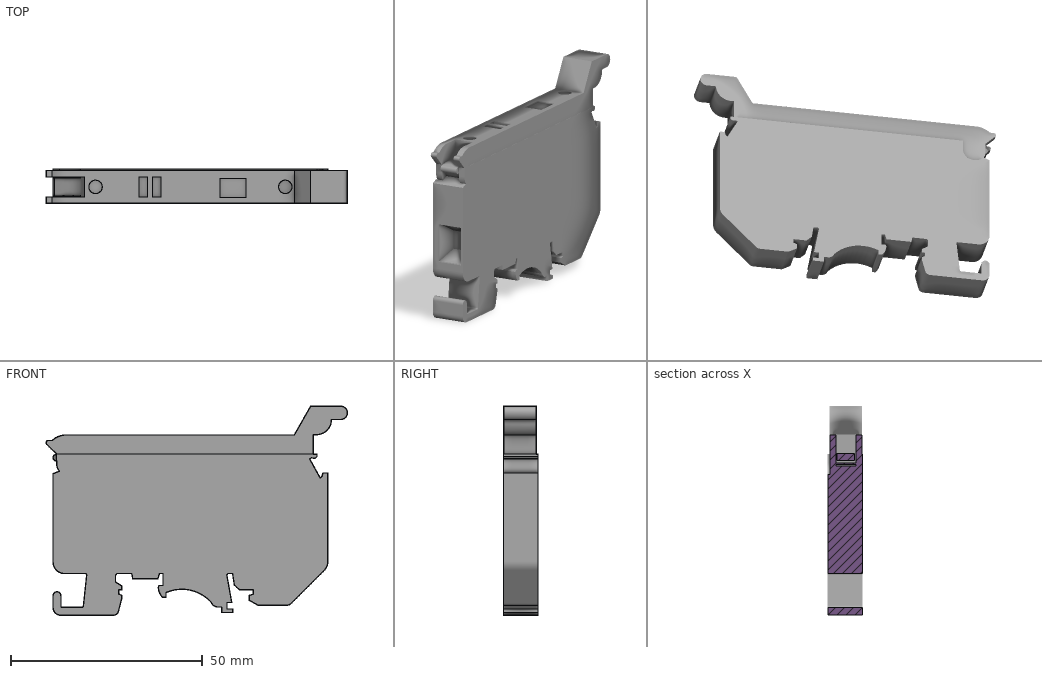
import cadquery as cq
import math

HOUSING_WIDTH = 9.0
HOUSING_LENGTH = 71.6
HOUSING_TOP = 42.0
TOTAL_HEIGHT = 54.48
TOTAL_LENGTH = 78.5
LEVER_TIP_X = -1.8
LEVER_TOP = 47.0

HOUSING_FRONT = -HOUSING_WIDTH / 2
HOUSING_BACK = HOUSING_WIDTH / 2
BELLY_Z = 10.86
CORNER_RADIUS = 3.0

LEVER_FRONT = -4.45
LEVER_BACK = 4.1
ARM_THICKNESS = 1.7
LEVER_MID_Y = (LEVER_FRONT + LEVER_BACK) / 2
FORK_FRONT = LEVER_FRONT + ARM_THICKNESS
FORK_BACK = LEVER_BACK - ARM_THICKNESS
FORK_END_X = 8.2

LEG_RADIUS = 3.08
LEG_FACE_X = 0.95
PIVOT_X = LEG_FACE_X + LEG_RADIUS
LEG_END_X = PIVOT_X + LEG_RADIUS
PIVOT_Z = 39.5
PIVOT_DIAMETER = 2.7
NOTCH_X = 1.65
NOTCH_Z = PIVOT_Z - math.sqrt(LEG_RADIUS ** 2 - (PIVOT_X - NOTCH_X) ** 2)
NOTCH_EDGE_Z = 36.9

TONGUE_WIDTH = 4.7
TONGUE_TIP_DROP = 0.2
TONGUE_TIP_RADIUS = 0.8
TONGUE_CROWN_START_X = 0.4
TONGUE_CROWN_END_X = 6.3
TONGUE_CROWN_RISE = 0.3

HANDLE_TIP_DIAMETER = 3.5
HANDLE_RAMP_START_X = 62.85
HANDLE_RAMP_END_X = 67.1
HANDLE_HEEL_X = 67.8
HANDLE_BELLY_RADIUS = 4.0

DIMPLE_DIAMETER = 3.5
DIMPLE_XS = (11.1, 60.5)
RECESS_DEPTH = 0.5
LABEL_START_X = 43.5
LABEL_LENGTH = 6.8
LABEL_WIDTH = 5.0
LABEL_MID_Y = -0.45
GRIP_LENGTH = 2.25
GRIP_ROUNDING = 0.7
GRIP_OUTER_XS = (22.4, 28.15)

ENTRY_MID_Y = -0.5
ENTRY_MID_Z = 20.9
ENTRY_WIDTH = 6.85
ENTRY_HEIGHT = 10.15
ENTRY_STRAIGHT_DEPTH = 0.8
ENTRY_TAPER_DEPTH = 4.0
ENTRY_FLOOR_WIDTH = 3.55
ENTRY_FLOOR_HEIGHT = 4.95
ENTRY_FLOOR_MID_Y = -0.725

DIAGONAL = math.sqrt(0.5)


def extrude_between(profile, y_start, y_end):
    """Extrude an XZ profile from y_start to y_end."""
    return profile.extrude(-(y_end - y_start)).translate((0, y_start, 0))


def box_between(x_range, y_range, z_range):
    """Axis-aligned box given by its limits on each axis."""
    size = [high - low for low, high in (x_range, y_range, z_range)]
    corner = (x_range[0], y_range[0], z_range[0])
    return cq.Workplane("XY").box(*size, centered=False).translate(corner)


def housing():
    """Terminal housing: outline of the body with its rail foot."""
    hook_width = 2.1
    hook_top = 6.15
    foot_radius = 2.0
    foot_rise = foot_radius * (1 - DIAGONAL)
    corner_inset = CORNER_RADIUS * (1 - DIAGONAL)
    slant_offset = 58.95
    base_z = 2.6
    keel_radius = 1.5
    keel_bevel = keel_radius * math.tan(math.pi / 8)
    bevel = CORNER_RADIUS * math.tan(math.pi / 8)
    latch_x = 68.8
    latch_edge_z = 37.1
    claw_x = 51.1
    claw_undercut_x = 52.1
    claw_ledge_z = 6.6
    slit_x = 45.3
    slit_rounding = 0.3
    spring_foot_x = 43.95
    spring_neck_x = 45.35
    spring_toe_x = 46.85
    spring_neck_top_z = 3.3
    spring_neck_base_z = 1.65
    spring_base_z = 0.7
    arch_start_x = 41.2
    arch_end_x = 29.45
    stop_base_z = 4.65
    stop_ledge_z = 7.8
    stop_slit_x = 28.65
    pad_z = 9.5
    foot_side_x = 16.3
    tooth_x = 17.95
    tooth_gap_x = 17.2
    tooth_ledge_z = 6.6
    hook_floor_z = 2.1
    hook_radius = hook_width / 2
    slant_top_z = HOUSING_LENGTH - slant_offset
    slant_start_x = base_z + slant_offset

    outline = (
        cq.Workplane("XZ")
        .moveTo(LEG_FACE_X, HOUSING_TOP)
        .lineTo(latch_x, HOUSING_TOP)
        .lineTo(latch_x, 41.35)
        .lineTo(68.2, 40.8)
        .lineTo(67.3, 41.0)
        .lineTo(66.9, 40.7)
        .lineTo(69.6, 35.8)
        .lineTo(70.05, 36.2)
        .lineTo(70.3, latch_edge_z)
        .lineTo(HOUSING_LENGTH, latch_edge_z)
        .lineTo(HOUSING_LENGTH, slant_top_z + bevel)
        .radiusArc((HOUSING_LENGTH - bevel * DIAGONAL, slant_top_z - bevel * DIAGONAL), CORNER_RADIUS)
        .lineTo(slant_start_x + keel_bevel * DIAGONAL, base_z + keel_bevel * DIAGONAL)
        .radiusArc((slant_start_x - keel_bevel, base_z), keel_radius)
        .lineTo(53.4, base_z)
        .lineTo(claw_x, 3.9)
        .lineTo(claw_x, 5.2)
        .lineTo(claw_undercut_x, 5.5)
        .lineTo(claw_undercut_x, claw_ledge_z)
        .lineTo(48.6, claw_ledge_z)
        .lineTo(47.2, 7.9)
        .lineTo(46.75, BELLY_Z)
        .lineTo(slit_x + slit_rounding, BELLY_Z)
        .lineTo(slit_x, BELLY_Z - slit_rounding)
        .lineTo(46.6, spring_neck_top_z)
        .lineTo(spring_neck_x, spring_neck_top_z)
        .lineTo(spring_neck_x, spring_neck_base_z)
        .lineTo(spring_toe_x, spring_neck_base_z)
        .lineTo(spring_toe_x, spring_base_z)
        .lineTo(spring_foot_x, spring_base_z)
        .lineTo(spring_foot_x, 2.15)
        .lineTo(42.8, 2.15)
        .threePointArc((41.8, 2.55), (arch_start_x, 3.4))
        .threePointArc((34.0, 6.75), (arch_end_x, 5.9))
        .lineTo(arch_end_x, stop_base_z)
        .lineTo(28.55, stop_base_z)
        .threePointArc((27.75, 5.8), (27.4, 7.3))
        .lineTo(27.6, stop_ledge_z)
        .lineTo(stop_slit_x, stop_ledge_z)
        .lineTo(stop_slit_x, BELLY_Z)
        .lineTo(27.75, BELLY_Z)
        .lineTo(27.35, pad_z)
        .lineTo(20.75, pad_z)
        .lineTo(20.5, BELLY_Z)
        .lineTo(16.7, BELLY_Z)
        .lineTo(foot_side_x, BELLY_Z - 0.4)
        .lineTo(foot_side_x, 8.7)
        .lineTo(tooth_x, 7.65)
        .lineTo(tooth_x, tooth_ledge_z)
        .lineTo(tooth_gap_x, tooth_ledge_z)
        .lineTo(tooth_gap_x, 5.55)
        .lineTo(tooth_x, 5.2)
        .lineTo(tooth_x, 4.4)
        .lineTo(17.1, 1.1)
        .threePointArc((16.6, 0.3), (15.7, 0))
        .lineTo(foot_radius, 0)
        .threePointArc((foot_rise, foot_rise), (0, foot_radius))
        .lineTo(0, hook_top - hook_radius)
        .threePointArc((hook_radius, hook_top), (hook_width, hook_top - hook_radius))
        .lineTo(hook_width, hook_floor_z)
        .lineTo(7.45, hook_floor_z)
        .threePointArc((7.75, 2.2), (7.9, 2.5))
        .lineTo(8.75, BELLY_Z - 0.4)
        .threePointArc((8.65, BELLY_Z - 0.1), (8.35, BELLY_Z))
        .lineTo(CORNER_RADIUS, BELLY_Z)
        .threePointArc((corner_inset, BELLY_Z + corner_inset), (0, BELLY_Z + CORNER_RADIUS))
        .lineTo(0, NOTCH_EDGE_Z)
        .lineTo(NOTCH_X, NOTCH_Z)
        .radiusArc((LEG_FACE_X, PIVOT_Z), LEG_RADIUS)
        .close()
    )
    return extrude_between(outline, HOUSING_FRONT, HOUSING_BACK)


def notch_start():
    """Mouth of the pivot pockets, up to the inner end of the sloped notch."""
    return (
        cq.Workplane("XZ")
        .moveTo(LEVER_TIP_X, HOUSING_TOP)
        .lineTo(LEVER_TIP_X, NOTCH_EDGE_Z)
        .lineTo(0, NOTCH_EDGE_Z)
        .lineTo(NOTCH_X, NOTCH_Z)
    )


def fork_pocket():
    """Pocket between the lever legs; its floor carries on the notch slope."""
    notch_slope = (NOTCH_Z - NOTCH_EDGE_Z) / NOTCH_X
    outline = (
        notch_start()
        .lineTo(LEG_END_X, NOTCH_EDGE_Z + notch_slope * LEG_END_X)
        .lineTo(LEG_END_X, HOUSING_TOP)
        .close()
    )
    return extrude_between(outline, FORK_FRONT, FORK_BACK)


def back_pocket():
    """Round pocket behind the rear leg, open to the back of the housing."""
    outline = (
        notch_start()
        .threePointArc((PIVOT_X, PIVOT_Z - LEG_RADIUS), (LEG_END_X, PIVOT_Z))
        .lineTo(LEG_END_X, HOUSING_TOP)
        .close()
    )
    return extrude_between(outline, LEVER_BACK, HOUSING_BACK)


def tongue():
    """Crowned tongue that reaches from the housing between the lever arms."""
    tip_top_z = HOUSING_TOP - TONGUE_TIP_DROP
    underside_z = tip_top_z - 2 * TONGUE_TIP_RADIUS
    crown_mid_x = (TONGUE_CROWN_START_X + TONGUE_CROWN_END_X) / 2
    outline = (
        cq.Workplane("XZ")
        .moveTo(TONGUE_TIP_RADIUS, underside_z)
        .threePointArc((0, underside_z + TONGUE_TIP_RADIUS), (TONGUE_CROWN_START_X, tip_top_z))
        .threePointArc((crown_mid_x, HOUSING_TOP + TONGUE_CROWN_RISE), (TONGUE_CROWN_END_X, HOUSING_TOP))
        .lineTo(FORK_END_X, HOUSING_TOP)
        .lineTo(FORK_END_X, underside_z)
        .close()
    )
    half = TONGUE_WIDTH / 2
    return extrude_between(outline, LEVER_MID_Y - half, LEVER_MID_Y + half)


def lever_plate():
    """Lever cover with its nose and raised handle."""
    tip_radius = HANDLE_TIP_DIAMETER / 2
    handle_end_x = LEVER_TIP_X + TOTAL_LENGTH
    tip_x = handle_end_x - tip_radius
    grip_z = TOTAL_HEIGHT - HANDLE_TIP_DIAMETER
    heel_ledge = 0.75
    belly_x = HANDLE_HEEL_X + heel_ledge
    belly_bulge = HANDLE_BELLY_RADIUS * DIAGONAL
    nose_top = 45.55
    nose_tip_radius = 0.6
    nose_tip_x = LEVER_TIP_X + nose_tip_radius
    nose_tip_z = nose_top - nose_tip_radius
    nose_tangent = nose_tip_radius * DIAGONAL
    nose_arch_radius = 5.4
    nose_arch_start_x = -0.2
    nose_arch_end_x = 3.5
    outline = (
        cq.Workplane("XZ")
        .moveTo(LEG_FACE_X, HOUSING_TOP)
        .lineTo(nose_tip_x - nose_tangent, nose_tip_z - nose_tangent)
        .threePointArc((nose_tip_x - nose_tangent, nose_tip_z + nose_tangent), (nose_tip_x, nose_top))
        .lineTo(nose_arch_start_x, nose_top)
        .radiusArc((nose_arch_end_x, LEVER_TOP), nose_arch_radius)
        .lineTo(HANDLE_RAMP_START_X, LEVER_TOP)
        .lineTo(HANDLE_RAMP_END_X, TOTAL_HEIGHT)
        .lineTo(tip_x, TOTAL_HEIGHT)
        .threePointArc((handle_end_x, TOTAL_HEIGHT - tip_radius), (tip_x, grip_z))
        .lineTo(belly_x + HANDLE_BELLY_RADIUS, grip_z)
        .threePointArc((belly_x + belly_bulge, grip_z - belly_bulge), (belly_x, LEVER_TOP))
        .lineTo(HANDLE_HEEL_X, LEVER_TOP)
        .lineTo(HANDLE_HEEL_X, HOUSING_TOP)
        .close()
    )
    return extrude_between(outline, LEVER_FRONT, LEVER_BACK)


def fork_gap():
    """Gap between the two lever arms."""
    return box_between(
        (LEVER_TIP_X, FORK_END_X),
        (FORK_FRONT, FORK_BACK),
        (HOUSING_TOP, TOTAL_HEIGHT),
    )


def dimple(center_x):
    """Shallow round recess in the lever top."""
    disc = cq.Workplane("XY").circle(DIMPLE_DIAMETER / 2).extrude(RECESS_DEPTH)
    return disc.translate((center_x, LEVER_MID_Y, LEVER_TOP - RECESS_DEPTH))


def label_recess():
    """Shallow rectangular label field in the lever top."""
    return box_between(
        (LABEL_START_X, LABEL_START_X + LABEL_LENGTH),
        (LABEL_MID_Y - LABEL_WIDTH / 2, LABEL_MID_Y + LABEL_WIDTH / 2),
        (LEVER_TOP - RECESS_DEPTH, LEVER_TOP),
    )


def grip_slot(outer_x, direction):
    """Finger slot whose outer wall curves down to a flat floor."""
    floor_z = LEVER_TOP - GRIP_ROUNDING
    inner_x = outer_x + direction * GRIP_LENGTH
    outline = (
        cq.Workplane("XZ")
        .moveTo(outer_x, LEVER_TOP)
        .radiusArc((outer_x + direction * GRIP_ROUNDING, floor_z), -direction * GRIP_ROUNDING)
        .lineTo(inner_x, floor_z)
        .lineTo(inner_x, LEVER_TOP)
        .close()
    )
    return extrude_between(outline, FORK_FRONT, FORK_BACK)


def lever():
    """Complete lever cover without its pivot legs."""
    body = lever_plate().cut(fork_gap()).cut(label_recess())
    for center_x in DIMPLE_XS:
        body = body.cut(dimple(center_x))
    for outer_x, direction in zip(GRIP_OUTER_XS, (1, -1)):
        body = body.cut(grip_slot(outer_x, direction))
    return body


def pivot_pin():
    """Pin joining the two round-ended legs under the lever arms."""
    profile = cq.Workplane("XZ").center(PIVOT_X, PIVOT_Z).circle(PIVOT_DIAMETER / 2)
    return extrude_between(profile, LEVER_FRONT, LEVER_BACK)


def wire_entry():
    """Rectangular wire entry: short straight mouth, then a tapered funnel."""
    mouth = box_between(
        (0, ENTRY_STRAIGHT_DEPTH),
        (ENTRY_MID_Y - ENTRY_WIDTH / 2, ENTRY_MID_Y + ENTRY_WIDTH / 2),
        (ENTRY_MID_Z - ENTRY_HEIGHT / 2, ENTRY_MID_Z + ENTRY_HEIGHT / 2),
    )
    funnel = (
        cq.Workplane("YZ", origin=(ENTRY_STRAIGHT_DEPTH, ENTRY_MID_Y, ENTRY_MID_Z))
        .rect(ENTRY_WIDTH, ENTRY_HEIGHT)
        .workplane(offset=ENTRY_TAPER_DEPTH)
        .center(ENTRY_FLOOR_MID_Y - ENTRY_MID_Y, 0)
        .rect(ENTRY_FLOOR_WIDTH, ENTRY_FLOOR_HEIGHT)
        .loft(ruled=True)
    )
    return mouth.union(funnel)


result = housing().cut(fork_pocket()).cut(back_pocket()).cut(wire_entry())
result = result.union(lever()).union(tongue()).union(pivot_pin())